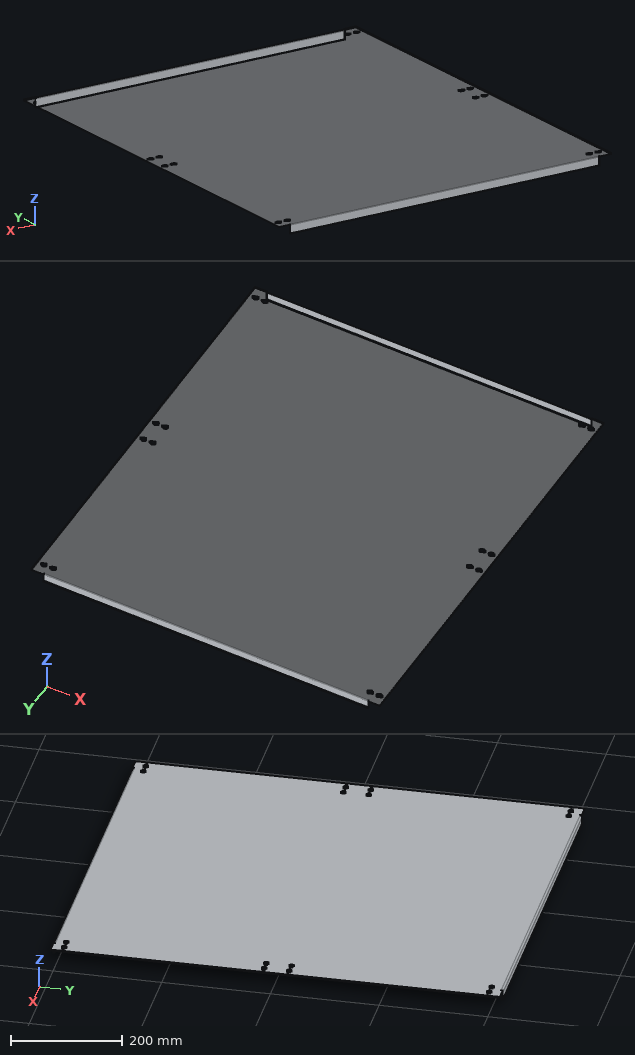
import cadquery as cq

length_x = 717.5
length_y = 827.5
height = 20.0

sheet = 2.5
bend_inner_radius = 1.0
bend_outer_radius = bend_inner_radius + sheet
corner_notch = 25.0
flange_length = length_x - 2 * corner_notch

outer_keyhole_x = 344.0
keyhole_pitch = 19.0
keyhole_columns = (outer_keyhole_x, outer_keyhole_x - keyhole_pitch)
keyhole_diameter = 9.0
keyhole_reach = 7.5
keyhole_slot_width = 5.0
end_row_y = 391.0
middle_row_y = 23.0
keyhole_rows = (-end_row_y, -middle_row_y, middle_row_y, end_row_y)


def bar_below(size_x, size_y, size_z, top_z):
    """Box centred in X and Y, hanging down from top_z."""
    bar = cq.Workplane("XY").box(size_x, size_y, size_z)
    return bar.translate((0, 0, top_z - size_z / 2))


def folded_channel():
    """Sheet folded down along both Y edges, between the corner notches."""
    outside = bar_below(flange_length, length_y, height, 0)
    outside = outside.edges("|X and >Z").fillet(bend_outer_radius)
    inside = bar_below(flange_length, length_y - 2 * sheet, height, -sheet)
    inside = inside.edges("|X and >Z").fillet(bend_inner_radius)
    return outside.cut(inside)


def edge_strip(side):
    """Flat strip along one X edge, beyond the ends of the flanges."""
    strip = bar_below(corner_notch, length_y, sheet, 0)
    return strip.translate((side * (length_x - corner_notch) / 2, 0, 0))


def keyhole(round_x, y):
    """Cutter for one keyhole on the +X side, with a rounded slot end."""
    slot_x = round_x + keyhole_reach / 2
    base = cq.Workplane("XY").workplane(offset=-height)
    opening = base.center(round_x, y).circle(keyhole_diameter / 2).extrude(height)
    slot = base.center(slot_x, y).slot2D(keyhole_reach, keyhole_slot_width).extrude(height)
    return opening.union(slot)


result = folded_channel()
for side in (-1, 1):
    result = result.union(edge_strip(side))

for column_x in keyhole_columns:
    for row_y in keyhole_rows:
        cutter = keyhole(column_x, row_y)
        result = result.cut(cutter).cut(cutter.mirror("YZ"))